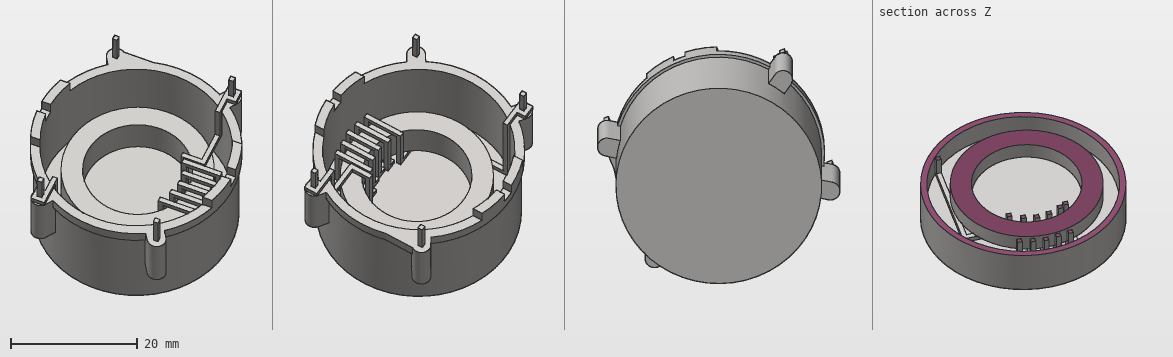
import cadquery as cq
import math

FLANGE_RADIUS = 16.75
BODY_RADIUS = 16.28
CAVITY_RADIUS = 15.2
RIM_Z = 17.52
FLOOR_Z = 3.8
FLANGE_HEIGHT = 1.85

LUG_X = 10.0
LUG_Y = 15.0
LUG_RADIUS = 1.5
LUG_HEIGHT = 9.0
LUG_REACH = math.hypot(LUG_X, LUG_Y)
LUG_CENTERS = [(x, y) for x in (-LUG_X, LUG_X) for y in (-LUG_Y, LUG_Y)]
WEB_Y = 16.25

TAB_HEIGHT = 1.98
TAB_PAIR_WIDTH = 11.95
TAB_GAP = 1.98

PIN_SIDE = 0.8
PIN_LENGTH = 5.0

CORE_Y = 0.57
CORE_OUTER_RADIUS = 12.13
CORE_INNER_RADIUS = 8.7
CORE_BOTTOM_Z = 4.8
CORE_HEIGHT = 5.95

WIRE = 0.8
COIL_HEIGHT = 8.17
PAD_SIDE = 2.3
LEAD_DROP_Y = 11.35
FIRST_TURN_Y = 5.25
TURN_STEP = 1.05
INNER_FACES = [5.6, 6.15, 7.0, 7.25, 6.77, 5.73]
OUTER_FACES = [12.8, 13.03, 13.35, 13.03, 12.55]


def disc(radius, bottom_z, height):
    """Upright cylinder on the housing axis."""
    return cq.Workplane("XY").workplane(offset=bottom_z).circle(radius).extrude(height)


def block(x_range, y_range, z_range):
    """Axis-aligned box between the given limits."""
    lows, highs = zip(x_range, y_range, z_range)
    sizes = [high - low for low, high in zip(lows, highs)]
    return cq.Workplane("XY").box(*sizes, centered=False).translate(lows)


def lug(x, y):
    """Round-ended arm that points from the housing's axis to (x, y)."""
    bottom_z = RIM_Z - LUG_HEIGHT
    arm = block((0, LUG_REACH), (-LUG_RADIUS, LUG_RADIUS), (bottom_z, RIM_Z))
    arm = arm.rotate((0, 0, 0), (0, 0, 1), math.degrees(math.atan2(y, x)))
    tip = disc(LUG_RADIUS, bottom_z, LUG_HEIGHT).translate((x, y, 0))
    return arm.union(tip)


def tabs():
    """Two tabs on each of the -X and +X sides, cut from a disc that stands on the rim."""
    top_z = RIM_Z + TAB_HEIGHT
    across = (-FLANGE_RADIUS, FLANGE_RADIUS)
    band = block(across, (-TAB_PAIR_WIDTH / 2, TAB_PAIR_WIDTH / 2), (RIM_Z, top_z))
    gap = block(across, (-TAB_GAP / 2, TAB_GAP / 2), (RIM_Z, top_z))
    return disc(FLANGE_RADIUS, RIM_Z, TAB_HEIGHT).intersect(band).cut(gap)


def make_case():
    """Cup with flange, lugs and tabs, hollowed down to its floor."""
    flange_z = RIM_Z - FLANGE_HEIGHT
    case = disc(BODY_RADIUS, 0, RIM_Z).union(disc(FLANGE_RADIUS, flange_z, FLANGE_HEIGHT))
    for x, y in LUG_CENTERS:
        case = case.union(lug(x, y))
    corner_web = block((-LUG_X, 0), (0, WEB_Y), (flange_z, RIM_Z))
    case = case.union(corner_web).union(tabs())
    cavity_depth = RIM_Z + TAB_HEIGHT - FLOOR_Z
    return case.cut(disc(CAVITY_RADIUS, FLOOR_Z, cavity_depth))


def make_core():
    """Plain ring above the housing floor, clear of the wire and the housing."""
    ring = cq.Workplane("XY").circle(CORE_OUTER_RADIUS).circle(CORE_INNER_RADIUS).extrude(CORE_HEIGHT)
    return ring.translate((0, CORE_Y, CORE_BOTTOM_Z))


def make_pin(x, y):
    """Square pin that stands on a lug."""
    base = cq.Workplane("XY").workplane(offset=RIM_Z).center(x, y)
    return base.rect(PIN_SIDE, PIN_SIDE).extrude(PIN_LENGTH)


def winding_path():
    """Corner points of the wire's centre line, from the +X +Y lug to the -X -Y lug."""
    half = WIRE / 2
    rim_z = RIM_Z + half
    low_z = FLOOR_Z + half
    high_z = FLOOR_Z + COIL_HEIGHT - half
    lead_x = LUG_X - PAD_SIDE / 2 + half
    y = FIRST_TURN_Y
    inner_x = INNER_FACES[0] + half
    path = [
        (lead_x, LUG_Y, rim_z),
        (lead_x, LEAD_DROP_Y, rim_z),
        (lead_x, LEAD_DROP_Y, high_z),
        (lead_x, y, high_z),
        (inner_x, y, high_z),
        (inner_x, y, low_z),
    ]
    for turn, outer_face in enumerate(OUTER_FACES):
        outer_x = outer_face - half
        inner_x = INNER_FACES[turn + 1] + half
        path.append((outer_x, y, low_z))
        y -= TURN_STEP
        path += [(outer_x, y, low_z), (outer_x, y, high_z), (inner_x, y, high_z), (inner_x, y, low_z)]
        if turn < len(OUTER_FACES) - 1:
            y -= TURN_STEP
            path.append((inner_x, y, low_z))
    path += [
        (inner_x, -LEAD_DROP_Y, low_z),
        (-lead_x, -LEAD_DROP_Y, low_z),
        (-lead_x, -LEAD_DROP_Y, rim_z),
        (-lead_x, -LUG_Y, rim_z),
    ]
    return path


def wire_run(start, end):
    """Straight piece of square wire, with full corners at both ends."""
    limits = [(min(a, b) - WIRE / 2, max(a, b) + WIRE / 2) for a, b in zip(start, end)]
    return block(*limits)


def make_winding():
    """Two square pads and the wire that runs from one to the other around the core."""
    pad_centers = [(LUG_X, LUG_Y), (-LUG_X, -LUG_Y)]
    winding = cq.Workplane("XY").workplane(offset=RIM_Z)
    winding = winding.pushPoints(pad_centers).rect(PAD_SIDE, PAD_SIDE).extrude(WIRE)
    path = winding_path()
    for start, end in zip(path, path[1:]):
        winding = winding.union(wire_run(start, end))
    return winding


def make_housing(pins):
    """Case and winding in one piece, with a hole for each pin that passes through a pad."""
    housing = make_case().union(make_winding())
    for pin in pins:
        housing = housing.cut(pin)
    return housing


pins = [make_pin(x, y) for x, y in LUG_CENTERS]
housing = make_housing(pins)
core = make_core()

result = cq.Compound.makeCompound([housing.val(), core.val(), *[pin.val() for pin in pins]])